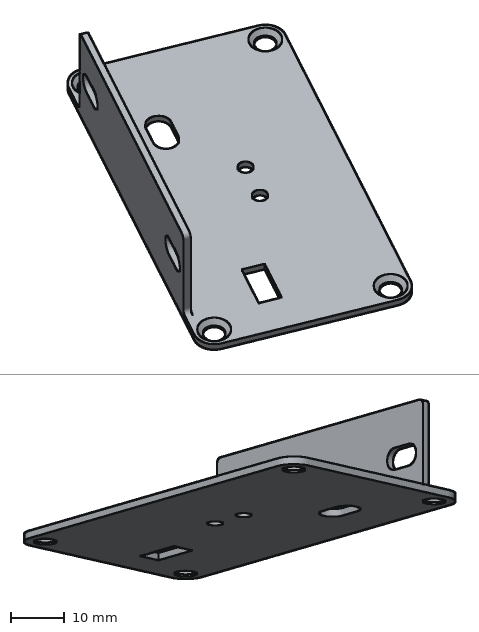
import cadquery as cq

plate_length = 78.0
plate_width = 42.9
sheet = 1.5
corner_radius = 4.0

total_height = 21.5
flange_length = 58.05
flange_fillet = 1.0
front_y = -plate_width / 2

screw_diameter = 4.2
countersink_diameter = 6.3
countersink_angle = 90
screw_spacing_x = plate_length - 2 * corner_radius
screw_spacing_y = plate_width - 2 * corner_radius

small_hole_diameter = 3.0
small_hole_spacing = 8.0
small_hole_y = 2.6

plate_slot_length = 9.05
plate_slot_width = 5.0
plate_slot_center = (-18.0, -9.0)
window_length = 9.5
window_width = 4.5
window_center = (26.4, -5.0)

flange_slot_length = 8.1
flange_slot_height = screw_diameter
flange_slot_spacing = 46.0
flange_slot_z = 11.5


def make_plate():
    """Flat plate with rounded corners and all of its openings."""
    plate = (
        cq.Workplane("XY")
        .rect(plate_length, plate_width)
        .extrude(sheet)
        .edges("|Z")
        .fillet(corner_radius)
    )
    top = cq.Workplane("XY", origin=(0, 0, sheet))
    plate = (
        plate.copyWorkplane(top)
        .rect(screw_spacing_x, screw_spacing_y, forConstruction=True)
        .vertices()
        .cskHole(screw_diameter, countersink_diameter, countersink_angle)
    )
    plate = (
        plate.copyWorkplane(top)
        .center(0, small_hole_y)
        .rarray(small_hole_spacing, 0.8, 2, 1)
        .hole(small_hole_diameter)
    )
    plate = (
        plate.copyWorkplane(top)
        .center(*plate_slot_center)
        .slot2D(plate_slot_length, plate_slot_width)
        .cutThruAll()
    )
    return (
        plate.copyWorkplane(top)
        .center(*window_center)
        .rect(window_length, window_width)
        .cutThruAll()
    )


def make_flange():
    """Upright wall with rounded top corners, flared feet and two slots."""
    half = flange_length / 2
    radius = flange_fillet
    front = cq.Workplane("XZ", origin=(0, front_y, 0))
    wall = (
        front.moveTo(-half - radius, sheet)
        .radiusArc((-half, sheet + radius), -radius)
        .lineTo(-half, total_height - radius)
        .radiusArc((-half + radius, total_height), radius)
        .lineTo(half - radius, total_height)
        .radiusArc((half, total_height - radius), radius)
        .lineTo(half, sheet + radius)
        .radiusArc((half + radius, sheet), -radius)
        .close()
        .extrude(-sheet)
    )
    slots = (
        front.center(0, flange_slot_z)
        .rarray(flange_slot_spacing, 0.8, 2, 1)
        .slot2D(flange_slot_length, flange_slot_height)
        .extrude(-sheet)
    )
    return wall.cut(slots)


result = make_plate().union(make_flange())